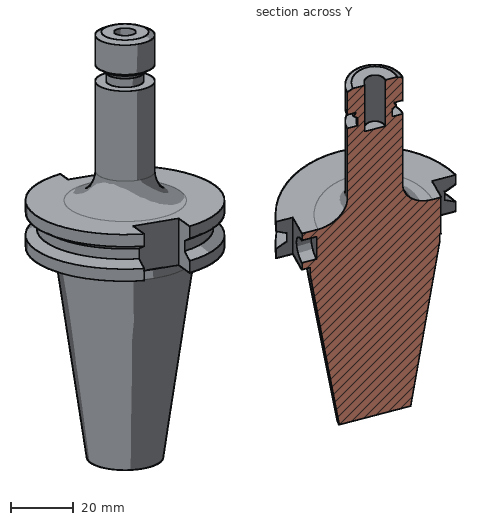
import cadquery as cq
import math

INCH = 25.4

taper_on_diameter = 7 / 24
gauge_radius = 1.75 * INCH / 2
taper_length = 68.25
taper_end_radius = gauge_radius - taper_length * taper_on_diameter / 2

neck_height = INCH / 8
flange_radius = 2.5 * INCH / 2
flange_thickness = 0.625 * INCH
flange_top = neck_height + flange_thickness
flange_middle = neck_height + flange_thickness / 2

groove_floor_radius = 28.18
groove_floor_half_width = 1.75
groove_flank_angle = 30
groove_mouth_half_width = groove_floor_half_width + (
    (flange_radius - groove_floor_radius) * math.tan(math.radians(groove_flank_angle))
)

nose_z = 3 * INCH
shank_radius = 0.75 * INCH / 2
shank_fillet = 10
nut_height = 11.0
nut_bottom = nose_z - nut_height
nut_chamfer_width = 2.0
nut_chamfer_height = 1.0
relief_bottom_depth = 16.65
shank_top = nose_z - relief_bottom_depth

relief_radius = 6.0
collar_root_radius = 6.6
collar_radius = 7.35
collar_upper_height = 1.3
collar_lower_height = 1.4
collar_rim_z = nut_bottom - collar_upper_height
collar_bottom = collar_rim_z - collar_lower_height

slot_width = 16.1
slot_floor_left = 25.0
slot_floor_right = 22.6

bore_radius = 3.5
bore_depth = 20
drive_hole_radius = 4.75
drive_hole_depth = 5


def revolved_body():
    """Solid of revolution holding the taper, flange, shank and nut."""
    fillet_middle = shank_fillet * (1 - math.sqrt(0.5))
    return (
        cq.Workplane("XZ")
        .moveTo(0, -taper_length)
        .lineTo(taper_end_radius, -taper_length)
        .lineTo(gauge_radius, 0)
        .lineTo(gauge_radius, neck_height)
        .lineTo(flange_radius, neck_height)
        .lineTo(flange_radius, flange_middle - groove_mouth_half_width)
        .lineTo(groove_floor_radius, flange_middle - groove_floor_half_width)
        .lineTo(groove_floor_radius, flange_middle + groove_floor_half_width)
        .lineTo(flange_radius, flange_middle + groove_mouth_half_width)
        .lineTo(flange_radius, flange_top)
        .lineTo(shank_radius + shank_fillet, flange_top)
        .threePointArc(
            (shank_radius + fillet_middle, flange_top + fillet_middle),
            (shank_radius, flange_top + shank_fillet),
        )
        .lineTo(shank_radius, shank_top)
        .lineTo(relief_radius, shank_top)
        .lineTo(relief_radius, collar_bottom)
        .lineTo(collar_radius, collar_rim_z)
        .lineTo(collar_root_radius, nut_bottom)
        .lineTo(shank_radius, nut_bottom)
        .lineTo(shank_radius, nose_z - nut_chamfer_height)
        .lineTo(shank_radius - nut_chamfer_width, nose_z)
        .lineTo(0, nose_z)
        .close()
        .revolve(360, (0, 0, 0), (0, 1, 0))
    )


def drive_slot(side, floor_distance):
    """Cutter for a slot through the flange; side is -1 for -X and +1 for +X."""
    return (
        cq.Workplane("XY", origin=(side * (floor_distance + flange_radius / 2), 0, neck_height))
        .box(flange_radius, slot_width, flange_thickness, centered=(True, True, False))
    )


def nose_bore():
    """Cutter for the blind bore in the end of the nut."""
    return cq.Workplane("XY", origin=(0, 0, nose_z)).circle(bore_radius).extrude(-bore_depth)


def drive_hole():
    """Cutter for the blind radial hole in the floor of the -X slot."""
    return (
        cq.Workplane("YZ", origin=(-slot_floor_left, 0, flange_middle))
        .circle(drive_hole_radius)
        .extrude(drive_hole_depth)
    )


result = (
    revolved_body()
    .cut(drive_slot(-1, slot_floor_left))
    .cut(drive_slot(1, slot_floor_right))
    .cut(nose_bore())
    .cut(drive_hole())
)